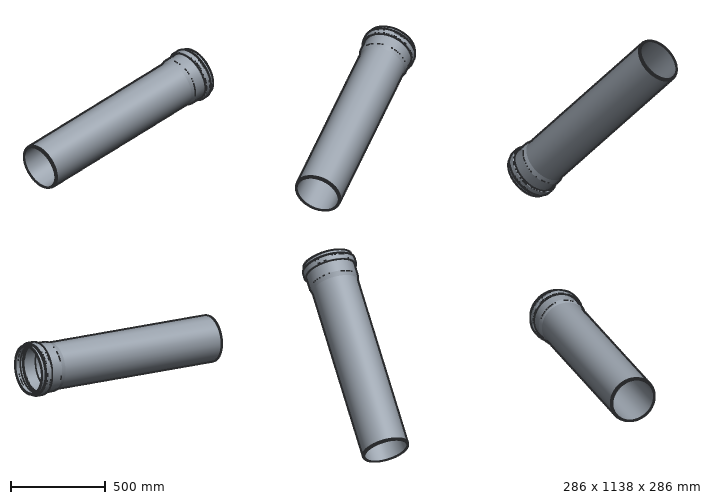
import cadquery as cq

length = 1138.0
pipe_diameter = 250.0
bore_diameter = 234.0
spigot_chamfer = 7.0
spigot_bevel_depth = 2.0

socket_diameter = 265.0
socket_bore_diameter = 251.0
flare_diameter = 273.0
flare_start = 19.0
ring_diameter = 286.0
ring_start = 24.0
ring_end = 59.0
ring_edge_radius = 3.0
taper_start = 125.0
taper_end = 151.0

pipe_radius = pipe_diameter / 2
socket_radius = socket_diameter / 2
flare_radius = flare_diameter / 2
ring_radius = ring_diameter / 2
bore_radius = bore_diameter / 2
socket_bore_radius = socket_bore_diameter / 2
socket_wall = socket_radius - socket_bore_radius
seal_groove_radius = ring_radius - socket_wall

open_end = length / 2
spigot_end = -length / 2


def revolve_profile(points):
    """Turn a list of (radius, y) points around the Y axis."""
    return cq.Workplane("XY").polyline(points).close().revolve(360, (0, 0, 0), (0, 1, 0))


def make_outside():
    """Solid pipe and socket, with a bevelled spigot end."""
    body = revolve_profile([
        (0, spigot_end),
        (pipe_radius - spigot_bevel_depth, spigot_end),
        (pipe_radius, spigot_end + spigot_chamfer),
        (pipe_radius, open_end - taper_end),
        (socket_radius, open_end - taper_start),
        (socket_radius, open_end),
        (0, open_end),
    ])
    flare = revolve_profile([
        (0, open_end - flare_start),
        (socket_radius, open_end - flare_start),
        (flare_radius, open_end - ring_start),
        (0, open_end - ring_start),
    ])
    ring = (
        cq.Workplane("XZ", origin=(0, open_end - ring_start, 0))
        .circle(ring_radius)
        .extrude(ring_end - ring_start)
        .edges()
        .fillet(ring_edge_radius)
    )
    return body.union(flare).union(ring)


def make_cavity():
    """Through bore, widened in the socket, with a seal groove behind the ring."""
    return revolve_profile([
        (0, spigot_end),
        (bore_radius, spigot_end),
        (bore_radius, open_end - taper_end),
        (socket_bore_radius, open_end - taper_start),
        (socket_bore_radius, open_end - ring_end + socket_wall),
        (seal_groove_radius, open_end - ring_end + socket_wall),
        (seal_groove_radius, open_end - ring_start - socket_wall),
        (socket_bore_radius, open_end - ring_start - socket_wall),
        (socket_bore_radius, open_end),
        (0, open_end),
    ])


result = make_outside().cut(make_cavity())